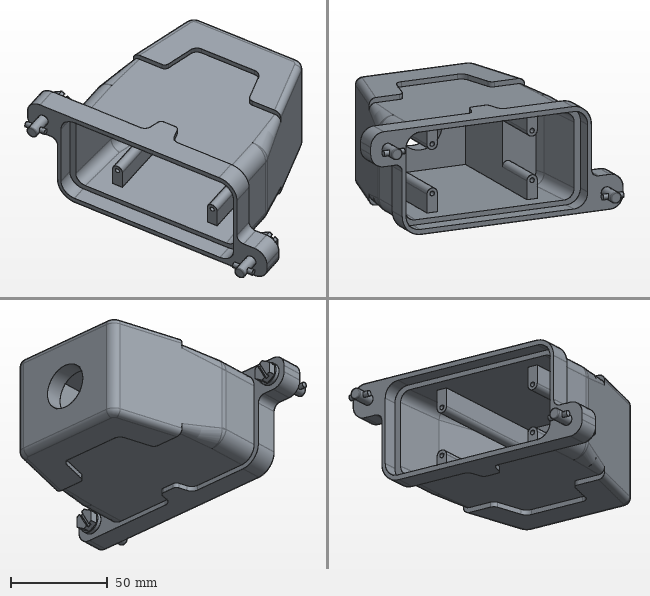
import cadquery as cq
import math

TAPER = math.tan(math.radians(15))
TOLERANCE = 0.1

length = 145.0
full_height = 58.0
flange_depth = 12.0
flange_width = 108.8
flange_corner = 10.9
lug_height = 18.8
lug_corner = 7.5
lug_root = 4.0

tab_top = 22.0
tab_top_width = 10.7
tab_corner = 2.5
tab_root = 4.5

hood_width = 102.7
hood_height = 52.5
hood_corner = 8.7
shoulder = 34.8
shoulder_radius = 10.9
step = 59.6
hood_back = 100.5
back_corner = 5.8
back_round = 3.6

panel_end = 80.5
panel_end_width = 39.2
panel_corner = 4.5
panel_mouth = 2.9

recess_width = 104.4
recess_corner = 8.1
recess_depth = 8.7
cavity_width = 97.2
cavity_height = 47.0
cavity_corner = 5.8
cavity_shoulder = 40.9
cavity_shoulder_width = 93.7
cavity_back = 90.9
block_front = 47.0
cable_hole = 25.0

rib_width = 6.0
rib_front = 17.5
rib_hole = 2.5
rib_hole_depth = 11.6
rib_hole_x = 28.7
rib_hole_z = 13.3
rib_overlap = 1.5
block_side = rib_hole_x - rib_width / 2

screw_x = 63.0
screw_z = (full_height - lug_height) / 2
shank = 6.0
shank_end = 11.6
shank_round = 0.5
cross_pin = 3.0
cross_pin_length = 11.7
cross_pin_y = 7.4
washer = 12.0
washer_height = 2.3
head_flats = 10.2
head_top = 18.4
slot_width = 1.7
slot_depth = 1.6
slot_angle = 60


def plane_at(y):
    """XZ plane at height y: local x is X, local y is Z, and a negative extrusion goes towards +Y."""
    return cq.Workplane("XZ", origin=(0, y, 0))


def rounded_rect(width, height, radius):
    return cq.Sketch().rect(width, height).vertices().fillet(radius)


def slab(points, height):
    """Prism over an XY outline, centred on Z = 0."""
    return cq.Workplane("XY").polyline(points).close().extrude(height / 2, both=True)


def trapezoid(y0, half0, y1, half1):
    return [(-half0, y0), (half0, y0), (half1, y1), (-half1, y1)]


def edges_between(x0, x1, y0, y1):
    """Selector for edges whose centre lies in the given X and Y range, at any Z."""
    return cq.selectors.BoxSelector(
        (x0 - TOLERANCE, y0 - TOLERANCE, -full_height),
        (x1 + TOLERANCE, y1 + TOLERANCE, full_height),
    )


def edges_at(x, y):
    return edges_between(x, x, y, y)


def round_pair(body, half_width, y, radius):
    """Round the two upright edges at (-half_width, y) and (half_width, y)."""
    return body.edges("|Z").edges(edges_at(-half_width, y) + edges_at(half_width, y)).fillet(radius)


def make_flange():
    half_width = flange_width / 2
    half_height = full_height / 2
    half_length = length / 2
    lug_edge = half_height - lug_height
    outline = [
        (-half_length, half_height),
        (half_width, half_height),
        (half_width, -lug_edge),
        (half_length, -lug_edge),
        (half_length, -half_height),
        (-half_width, -half_height),
        (-half_width, lug_edge),
        (-half_length, lug_edge),
    ]
    flange = plane_at(0).polyline(outline).close().extrude(-flange_depth)
    middle = flange_depth / 2
    corners = [
        (half_width, half_height, flange_corner),
        (half_width, -lug_edge, lug_root),
        (half_length, -lug_edge, lug_corner),
        (half_length, -half_height, lug_corner),
    ]
    for x, z, radius in corners:
        corner = cq.selectors.NearestToPointSelector((x, middle, z))
        opposite = cq.selectors.NearestToPointSelector((-x, middle, -z))
        flange = flange.edges("|Y").edges(corner + opposite).fillet(radius)

    tab_half = tab_top_width / 2
    root_half = tab_half + (tab_top - flange_depth) * TAPER
    tab = slab(trapezoid(flange_depth, root_half, tab_top, tab_half), full_height)
    flange = round_pair(flange.union(tab), root_half, flange_depth, tab_root)
    return round_pair(flange, tab_half, tab_top, tab_corner)


def make_hood():
    half_width = hood_width / 2
    step_half = half_width - (step - shoulder) * TAPER
    back_half = half_width - (hood_back - shoulder) * TAPER

    shoulder_section = rounded_rect(hood_width, hood_height, hood_corner)
    base = plane_at(0).placeSketch(shoulder_section).extrude(-shoulder)
    step_section = rounded_rect(2 * step_half, hood_height, back_round)
    waist = (
        plane_at(0)
        .placeSketch(
            shoulder_section.moved(cq.Location(cq.Vector(0, 0, -shoulder))),
            step_section.moved(cq.Location(cq.Vector(0, 0, -step))),
        )
        .loft(ruled=True)
    )
    shoulder_edges = edges_between(-half_width, half_width, shoulder, shoulder)
    lower = base.union(waist).edges(shoulder_edges).fillet(shoulder_radius)

    back = slab(trapezoid(step, step_half, hood_back, back_half), full_height)
    back = round_pair(back, back_half, hood_back, back_corner)
    rim_edges = edges_between(-half_width, half_width, step + 2 * TOLERANCE, hood_back)
    back = back.faces("|Z").edges(rim_edges).fillet(back_round)

    panel_half = panel_end_width / 2
    mouth_half = panel_half + (panel_end - step) * TAPER
    panel = slab(trapezoid(step, mouth_half, panel_end, panel_half), full_height)
    panel = round_pair(panel, panel_half, panel_end, panel_corner)
    core = slab(trapezoid(step, mouth_half, panel_end, panel_half), hood_height)
    back = round_pair(back.cut(panel.cut(core)), mouth_half, step, panel_mouth)
    return lower.union(back)


def make_cavity():
    """Recess at the mouth, chamber with slightly drafted then tapered sides, and cable opening."""
    recess_section = rounded_rect(recess_width, hood_height, recess_corner)
    recess = plane_at(0).placeSketch(recess_section).extrude(-recess_depth)

    mouth_half = cavity_width / 2
    waist_half = cavity_shoulder_width / 2
    block_half = waist_half - (block_front - cavity_shoulder) * TAPER
    back_half = waist_half - (cavity_back - cavity_shoulder) * TAPER
    outline = [
        (-mouth_half, recess_depth),
        (mouth_half, recess_depth),
        (waist_half, cavity_shoulder),
        (block_half, block_front),
        (block_side, block_front),
        (block_side, cavity_back),
        (-back_half, cavity_back),
        (-waist_half, cavity_shoulder),
    ]
    side_edges = (
        edges_between(-mouth_half, -waist_half, recess_depth + 2 * TOLERANCE, cavity_shoulder)
        + edges_between(waist_half, mouth_half, recess_depth + 2 * TOLERANCE, cavity_shoulder)
        + edges_between(block_half, waist_half, cavity_shoulder, block_front - 2 * TOLERANCE)
        + edges_between(-waist_half, -back_half, cavity_shoulder, cavity_back - 2 * TOLERANCE)
    )
    cavity = slab(outline, cavity_height).faces("|Z").edges(side_edges).fillet(cavity_corner)
    opening = plane_at(0).circle(cable_hole / 2).extrude(-hood_back)
    return recess.union(cavity).union(opening)


def make_rib(x, side):
    """Rib with a round inner edge, standing on the +Z (side = 1) or -Z (side = -1) wall."""
    start = plane_at(rib_front)
    rib_length = cavity_back + rib_overlap - rib_front
    bar_height = cavity_height / 2 + rib_overlap - rib_hole_z
    bar_z = side * (rib_hole_z + bar_height / 2)
    bar = start.center(x, bar_z).rect(rib_width, bar_height).extrude(-rib_length)
    edge = start.center(x, side * rib_hole_z).circle(rib_width / 2).extrude(-rib_length)
    hole = start.center(x, side * rib_hole_z).circle(rib_hole / 2).extrude(-rib_hole_depth)
    return bar.union(edge).cut(hole)


def make_screw():
    """Slotted hexagon screw with a cross pin, along the Y axis."""
    washer_top = flange_depth + washer_height
    screw = plane_at(-shank_end).circle(shank / 2).extrude(-(shank_end + flange_depth))
    screw = screw.faces("<Y").edges().fillet(shank_round)
    screw = screw.union(plane_at(flange_depth).circle(washer / 2).extrude(-washer_height))
    hexagon = plane_at(washer_top).polygon(6, head_flats, circumscribed=True)
    screw = screw.union(hexagon.extrude(washer_top - head_top))
    slot = cq.Workplane("XY").box(washer, 2 * slot_depth, slot_width)
    slot = slot.rotate((0, 0, 0), (0, 1, 0), -slot_angle).translate((0, head_top, 0))
    pin = cq.Workplane("YZ").circle(cross_pin / 2).extrude(cross_pin_length / 2, both=True)
    return screw.cut(slot).union(pin.translate((0, -cross_pin_y, 0)))


result = make_flange().union(make_hood()).cut(make_cavity())
for side in (1, -1):
    for x in (-rib_hole_x, rib_hole_x):
        result = result.union(make_rib(x, side))
    result = result.union(make_screw().translate((-side * screw_x, 0, side * screw_z)))